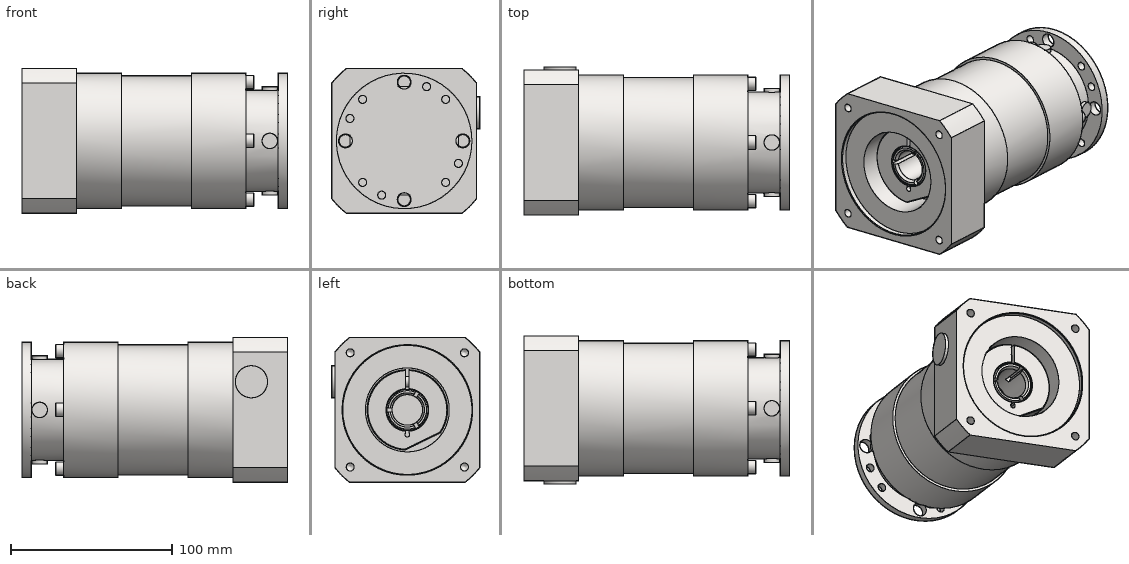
import cadquery as cq
import math

length = 164.8
adapter_end = 34.0
front_body_end = 61.8
middle_body_end = 105.1
rear_body_end = 139.0
flange_start = 158.9

block_side = 90.0
block_turned_diameter = 115.0
pilot_diameter = 81.0
pilot_depth = 4.0
pilot_chamfer = 0.5
mount_hole_diameter = 5.0
mount_hole_offset = 35.5
mount_hole_depth = 13.2
drill_point_angle = 118.0
cavity_diameter = 52.0
cavity_floor = 28.8

hub_face = 15.5
hub_diameter = 50.0
hub_chamfer = 0.5
hub_flat_distance = 21.8
hub_flat_angle = 26.0
shaft_bore_diameter = 19.0
shaft_bore_depth = 33.0
shaft_bore_chamfer = 1.2
shaft_bore_chamfer_length = 2.0
bush_diameter = 25.5
bush_chamfer = 0.8
ring_chamfer = 0.5
bush_slot_width = 2.5
bush_slot_depth = 19.8
bush_slot_angles = (60, 180, 300)
slit_width = 2.1
relief_hole_diameter = 3.0
relief_hole_offset = 15.3

clamp_screw_x = 22.4
clamp_screw_z = 17.5
clamp_screw_diameter = 6.6
clamp_screw_length = 9.9
access_plug_diameter = 20.0
access_plug_height = 2.0

body_diameter = 84.0
middle_diameter = 80.9
neck_diameter = 63.0

sector_count = 4
sector_angle = 360 / sector_count
bolt_circle_radius = 36.5
screw_head_diameter = 8.4
screw_head_height = 5.0
screw_head_chamfer = 0.3
side_plug_x = 153.8
side_plug_diameter = 9.5
side_plug_top_radius = 33.6
access_hole_diameter = 8.5
flange_hole_diameter = 5.0
flange_hole_angles = (22.5, 135.0)


def cylinder_x(diameter, start, end, y=0.0, z=0.0):
    """Cylinder parallel to the X axis between two X positions."""
    plane = cq.Plane(origin=(start, y, z), xDir=(0, 1, 0), normal=(1, 0, 0))
    return cq.Workplane(plane).circle(diameter / 2).extrude(end - start)


def turned(points):
    """Solid turned about the X axis from (position, radius) points."""
    return cq.Workplane("XY").polyline(points).close().revolve(360, (0, 0, 0), (1, 0, 0))


def box_between(x_range, y_range, z_range):
    """Box spanning the given ranges on the three axes."""
    size = [high - low for low, high in (x_range, y_range, z_range)]
    corner = (x_range[0], y_range[0], z_range[0])
    return cq.Workplane("XY").box(*size, centered=False).translate(corner)


def about_axis(shape, angle):
    """Turn a shape about the X axis."""
    return shape.rotate((0, 0, 0), (1, 0, 0), angle)


def make_housing():
    """Adapter block with turned corners, stepped body, neck and output flange."""
    half_side = block_side / 2
    housing = box_between((0, adapter_end), (-half_side, half_side), (-half_side, half_side))
    housing = housing.intersect(cylinder_x(block_turned_diameter, 0, adapter_end))
    sections = (
        (body_diameter, adapter_end, front_body_end),
        (middle_diameter, front_body_end, middle_body_end),
        (body_diameter, middle_body_end, rear_body_end),
        (neck_diameter, rear_body_end, flange_start),
        (body_diameter, flange_start, length),
    )
    for diameter, start, end in sections:
        housing = housing.union(cylinder_x(diameter, start, end))
    return housing


def make_pilot_recess():
    """Shallow motor pilot with a chamfered rim, and the deeper cavity around the hub."""
    rim_radius = pilot_diameter / 2
    wall_radius = rim_radius - pilot_chamfer
    cavity_radius = cavity_diameter / 2
    return turned([
        (0, 0),
        (0, rim_radius),
        (pilot_chamfer, wall_radius),
        (pilot_depth, wall_radius),
        (pilot_depth, cavity_radius),
        (cavity_floor, cavity_radius),
        (cavity_floor, 0),
    ])


def make_mount_hole(y, z):
    """Blind drilled hole with a conical end."""
    radius = mount_hole_diameter / 2
    point_length = radius / math.tan(math.radians(drill_point_angle / 2))
    hole = turned([
        (0, 0),
        (0, radius),
        (mount_hole_depth, radius),
        (mount_hole_depth + point_length, 0),
    ])
    return hole.translate((0, y, z))


def make_hub():
    """Clamping ring on the cavity floor, with one balancing flat."""
    hub = cylinder_x(hub_diameter, hub_face, cavity_floor)
    hub_radius = hub_diameter / 2
    flat_cut = box_between(
        (hub_face, cavity_floor), (-hub_radius, hub_radius), (-hub_radius, -hub_flat_distance)
    )
    hub = hub.cut(about_axis(flat_cut, -hub_flat_angle))
    return hub.faces("<X").chamfer(hub_chamfer)


def make_bush_groove():
    """Groove left by the chamfers in the hub face where the slotted bush meets the clamping ring."""
    bush_radius = bush_diameter / 2
    return turned([
        (hub_face, bush_radius - bush_chamfer),
        (hub_face, bush_radius + ring_chamfer),
        (hub_face + ring_chamfer, bush_radius),
        (hub_face + bush_chamfer, bush_radius),
    ])


def make_shaft_bore():
    """Blind motor shaft bore with a chamfered mouth."""
    bore_radius = shaft_bore_diameter / 2
    bore_end = hub_face + shaft_bore_depth
    return turned([
        (hub_face, 0),
        (hub_face, bore_radius + shaft_bore_chamfer),
        (hub_face + shaft_bore_chamfer_length, bore_radius),
        (bore_end, bore_radius),
        (bore_end, 0),
    ])


def make_bush_slot(angle):
    """Axial slot through the bush wall; the angle is measured from -Y toward +Z."""
    half_width = bush_slot_width / 2
    slot = box_between(
        (hub_face, hub_face + bush_slot_depth), (-bush_diameter / 2, 0), (-half_width, half_width)
    )
    return about_axis(slot, -angle)


def make_clamp_slits():
    """Slit through the ring above the bush, and a short one below ending in a relief hole."""
    half_width = slit_width / 2
    bush_radius = bush_diameter / 2
    depth_range = (hub_face, cavity_floor)
    width_range = (-half_width, half_width)
    upper = box_between(depth_range, width_range, (bush_radius, hub_diameter / 2))
    lower = box_between(depth_range, width_range, (-relief_hole_offset, -bush_radius))
    relief = cylinder_x(relief_hole_diameter, hub_face, cavity_floor, z=-relief_hole_offset)
    return upper.union(lower).union(relief)


def make_clamp_screw():
    """Clamp screw shank bridging the upper slit."""
    screw = cq.Workplane("XZ").circle(clamp_screw_diameter / 2).extrude(clamp_screw_length / 2, both=True)
    return screw.translate((clamp_screw_x, 0, clamp_screw_z))


def make_access_plug():
    """Round plug standing proud of the +Y side of the block."""
    plug = cq.Workplane("XZ").circle(access_plug_diameter / 2).extrude(-access_plug_height)
    return plug.translate((clamp_screw_x, block_side / 2, clamp_screw_z))


def make_screw_head():
    """Screw head on the rear face of the body."""
    head = cylinder_x(
        screw_head_diameter, rear_body_end, rear_body_end + screw_head_height, z=bolt_circle_radius
    )
    return head.faces(">X").chamfer(screw_head_chamfer)


def make_side_plug():
    """Round plug set radially into the neck."""
    plug = cq.Workplane("XY").circle(side_plug_diameter / 2).extrude(side_plug_top_radius)
    return plug.translate((side_plug_x, 0, 0))


def make_flange_holes():
    """One sector of flange holes: a screw access hole and the smaller threaded holes."""
    holes = cylinder_x(access_hole_diameter, flange_start, length, z=bolt_circle_radius)
    small_hole = cylinder_x(flange_hole_diameter, flange_start, length, z=bolt_circle_radius)
    for angle in flange_hole_angles:
        holes = holes.union(about_axis(small_hole, -angle))
    return holes


result = make_housing().cut(make_pilot_recess())
for y_sign in (-1, 1):
    for z_sign in (-1, 1):
        result = result.cut(make_mount_hole(y_sign * mount_hole_offset, z_sign * mount_hole_offset))

result = result.union(make_hub())
result = result.cut(make_shaft_bore()).cut(make_bush_groove()).cut(make_clamp_slits())
for slot_angle in bush_slot_angles:
    result = result.cut(make_bush_slot(slot_angle))
result = result.union(make_clamp_screw()).union(make_access_plug())

for index in range(sector_count):
    turn = index * sector_angle
    result = result.union(about_axis(make_screw_head(), turn))
    result = result.union(about_axis(make_side_plug(), turn))
    result = result.cut(about_axis(make_flange_holes(), turn))